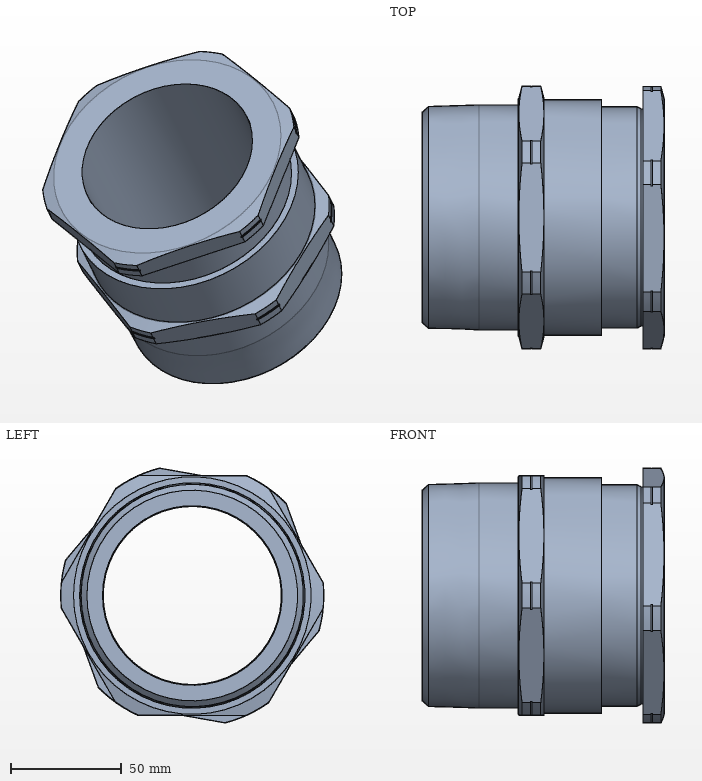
import cadquery as cq
import math

length = 109.1
entry_chamfer_end = 2.8
taper_end = 25.6
collar_start = 43.1
collar_width = 11.9
body_end = 80.9
neck_chamfer_start = 96.9
neck_chamfer_end = 98.7
nut_start = 99.5

entry_face_radius = 47.5
taper_start_radius = 50.1
sleeve_radius = 50.8
body_radius = 53.2
neck_radius = 50.0
neck_end_radius = 49.0
bore_radius = 40.1
bore_mouth_radius = 40.5
bore_mouth_chamfer = bore_mouth_radius - bore_radius

hex_apothem = 54.0
corner_radius = 59.4
hex_face_radius = 53.5
hex_bevel_length = 1.5
collar_front_rim = 0.4
corner_groove_width = 0.7
corner_groove_depth = 0.2
nut_twist = 10.0


def revolve_about_x(profile):
    """Revolve a closed (x, radius) outline about the X axis."""
    outline = cq.Workplane("XY").polyline(profile).close()
    return outline.revolve(360, (0, 0, 0), (1, 0, 0))


def hexagon(start, end, twist):
    """Hexagonal prism along X with flats on +Z and -Z before the twist."""
    across_corners = 2 * hex_apothem / math.cos(math.radians(30))
    prism = cq.Workplane("YZ", origin=(start, 0, 0)).polygon(6, across_corners).extrude(end - start)
    return prism.rotate((0, 0, 0), (1, 0, 0), twist)


def corner_envelope(start, bevel_start, bevel_end, end):
    """Turned envelope: rounds the corners, bevels the faces and carries the groove."""
    middle = (bevel_start + bevel_end) / 2
    groove_start = middle - corner_groove_width / 2
    groove_end = middle + corner_groove_width / 2
    groove_radius = corner_radius - corner_groove_depth
    if bevel_start > start:
        profile = [
            (start, 0),
            (start, hex_face_radius),
            (start + collar_front_rim, hex_face_radius),
            (bevel_start, corner_radius),
        ]
    else:
        profile = [(start, 0), (start, corner_radius)]
    profile += [
        (groove_start, corner_radius),
        (groove_start, groove_radius),
        (groove_end, groove_radius),
        (groove_end, corner_radius),
        (bevel_end, corner_radius),
        (end, hex_face_radius),
        (end, 0),
    ]
    return revolve_about_x(profile)


body = revolve_about_x([
    (0, 0),
    (0, entry_face_radius),
    (entry_chamfer_end, taper_start_radius),
    (taper_end, sleeve_radius),
    (collar_start, sleeve_radius),
    (collar_start, body_radius),
    (body_end, body_radius),
    (body_end, neck_radius),
    (neck_chamfer_start, neck_radius),
    (neck_chamfer_end, neck_end_radius),
    (length, neck_end_radius),
    (length, 0),
])

collar_end = collar_start + collar_width
collar = hexagon(collar_start, collar_end, 0).intersect(corner_envelope(
    collar_start,
    collar_start + collar_front_rim + hex_bevel_length,
    collar_end - hex_bevel_length,
    collar_end,
))

nut = hexagon(nut_start, length, nut_twist).intersect(corner_envelope(
    nut_start,
    nut_start,
    length - hex_bevel_length,
    length,
))

bore = revolve_about_x([
    (0, 0),
    (0, bore_mouth_radius),
    (bore_mouth_chamfer, bore_radius),
    (length, bore_radius),
    (length, 0),
])

result = body.union(collar).union(nut).cut(bore)